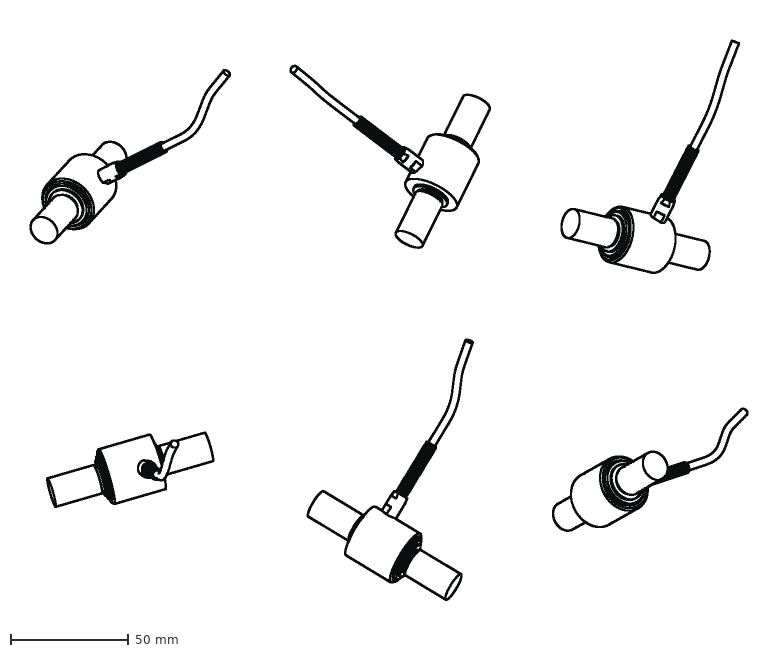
import cadquery as cq
import math


roll = -33.3
pitch = 9.0
yaw = -2.0

rod_diameter = 12.7
rod_length = 20.7
neck_diameter = 11.5
neck_length = 1.25

body_diameter = 24.4
body_length = 23.65
body_rear = 6.75
body_front = body_rear - body_length
body_chamfer = 0.8

boss_diameter = 15.9
rear_boss_height = 1.0
front_boss_height = 0.9
front_ring_diameter = 19.1
front_ring_height = 0.8
front_groove_diameter = 20.4
front_groove_depth = 5.0

outlet_diameter = 7.1
outlet_tip_diameter = 6.4
taper_start = 19.65
outlet_end = 22.15
outlet_across_flats = 6.0
outlet_flat_angle = 56.0
wrench_flat_end = 15.4

coil_diameter = 4.8
wire_diameter = 0.43
coil_turns = 58

cable_diameter = 3.3
cable_plane_angle = -21.0
bend_start = 58.7
bend_radius = 20.0
first_bend_angle = 39.2
second_bend_angle = 18.4
middle_straight = 7.75
end_straight = 10.9


def disc(diameter, start, length):
    """Cylinder along +Y from the given position."""
    plane = cq.Plane((0, start, 0), xDir=(1, 0, 0), normal=(0, 1, 0))
    return cq.Workplane(plane).circle(diameter / 2).extrude(length)


def stack(start, direction, steps):
    """Coaxial discs, given as (diameter, length), piled up from a position along +Y or -Y."""
    shape = None
    for diameter, length in steps:
        step = disc(diameter, start, direction * length)
        shape = shape.union(step) if shape else step
        start += direction * length
    return shape


def body():
    """Barrel with a chamfered front edge and a deep ring groove in its front face."""
    barrel = disc(body_diameter, body_front, body_length).faces("<Y").chamfer(body_chamfer)
    groove = disc(front_groove_diameter, body_front, front_groove_depth)
    core = disc(front_ring_diameter, body_front, front_groove_depth)
    return barrel.cut(groove.cut(core))


def rear_end():
    steps = [
        (boss_diameter, rear_boss_height),
        (neck_diameter, neck_length),
        (rod_diameter, rod_length),
    ]
    return stack(body_rear, 1, steps)


def front_end():
    steps = [
        (front_ring_diameter, front_ring_height),
        (boss_diameter, front_boss_height),
        (neck_diameter, neck_length),
        (rod_diameter, rod_length),
    ]
    return stack(body_front, -1, steps)


def outlet():
    """Round stem with a tapered tip; two opposite flats at its base and on the tip."""
    outline = [
        (0, 0),
        (0, outlet_diameter / 2),
        (taper_start, outlet_diameter / 2),
        (outlet_end, outlet_tip_diameter / 2),
        (outlet_end, 0),
    ]
    stem = cq.Workplane("XY").polyline(outline).close().revolve(360, (0, 0, 0), (1, 0, 0))
    cutter_offset = (outlet_across_flats + outlet_diameter) / 2
    for start, end in ((0, wrench_flat_end), (taper_start, outlet_end)):
        cutter = cq.Workplane("XY").box(
            end - start, outlet_diameter, outlet_diameter, centered=(False, True, True)
        )
        for side in (-1, 1):
            stem = stem.cut(cutter.translate((start, side * cutter_offset, 0)))
    return stem.rotate((0, 0, 0), (1, 0, 0), outlet_flat_angle)


def coil():
    """Touching turns of round wire, each a half-round ring on a solid core."""
    crest = coil_diameter / 2
    root = crest - wire_diameter / 2
    outline = cq.Workplane("XY").moveTo(outlet_end, 0).lineTo(outlet_end, root)
    for turn in range(coil_turns):
        start = outlet_end + turn * wire_diameter
        outline = outline.threePointArc(
            (start + wire_diameter / 2, crest), (start + wire_diameter, root)
        )
    coil_end = outlet_end + coil_turns * wire_diameter
    return outline.lineTo(coil_end, 0).close().revolve(360, (0, 0, 0), (1, 0, 0))


def move(point, length, angle):
    """Point reached from another by going a length in the direction of an angle."""
    return (point[0] + length * math.cos(angle), point[1] + length * math.sin(angle))


def cable():
    first_bend = math.radians(first_bend_angle)
    second_bend = math.radians(second_bend_angle)
    first_chord = 2 * bend_radius * math.sin(first_bend / 2)
    second_chord = 2 * bend_radius * math.sin(second_bend / 2)

    first_bend_start = (bend_start, 0)
    first_bend_end = move(first_bend_start, first_chord, first_bend / 2)
    second_bend_start = move(first_bend_end, middle_straight, first_bend)
    second_bend_end = move(second_bend_start, second_chord, first_bend - second_bend / 2)
    tip = move(second_bend_end, end_straight, first_bend - second_bend)

    path = (
        cq.Workplane("XZ")
        .moveTo(outlet_end, 0)
        .lineTo(*first_bend_start)
        .tangentArcPoint(first_bend_end, relative=False)
        .lineTo(*second_bend_start)
        .tangentArcPoint(second_bend_end, relative=False)
        .lineTo(*tip)
    )
    section = cq.Workplane("YZ", origin=(outlet_end, 0, 0)).circle(cable_diameter / 2)
    return section.sweep(path).rotate((0, 0, 0), (1, 0, 0), cable_plane_angle)


part = body().union(rear_end()).union(front_end()).union(outlet()).union(coil()).union(cable())

result = (
    part.rotate((0, 0, 0), (0, 1, 0), roll)
    .rotate((0, 0, 0), (1, 0, 0), pitch)
    .rotate((0, 0, 0), (0, 0, 1), yaw)
)